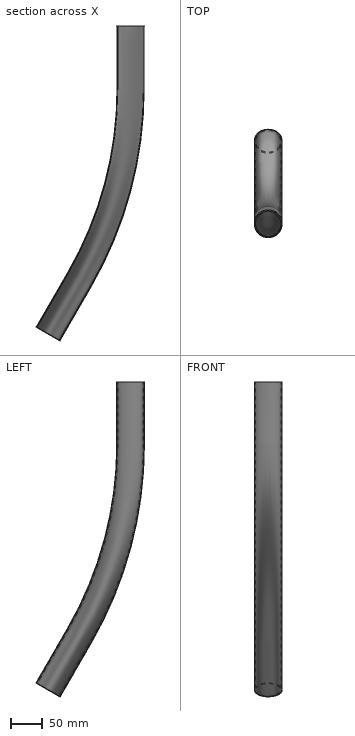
import cadquery as cq
import math

overall_height = 505.5
outer_diameter = 44.5
inner_diameter = 40.5
straight_length = 101.0
bend_angle = math.radians(30)

straight_height = straight_length * (1 + math.cos(bend_angle))
end_corner_drop = outer_diameter / 2 * math.sin(bend_angle)
bend_radius = (overall_height - straight_height - end_corner_drop) / math.sin(bend_angle)


def point_on_bend(angle):
    """Centreline point (Y, Z) after turning by angle from vertical towards +Y."""
    y = bend_radius * (1 - math.cos(angle))
    z = overall_height - straight_length - bend_radius * math.sin(angle)
    return y, z


bend_end_y, bend_end_z = point_on_bend(bend_angle)
lower_end = (
    bend_end_y + straight_length * math.sin(bend_angle),
    bend_end_z - straight_length * math.cos(bend_angle),
)
centreline = (
    cq.Workplane("YZ")
    .moveTo(0, overall_height)
    .lineTo(*point_on_bend(0))
    .threePointArc(point_on_bend(bend_angle / 2), (bend_end_y, bend_end_z))
    .lineTo(*lower_end)
)

result = (
    cq.Workplane("XY", origin=(0, 0, overall_height))
    .circle(outer_diameter / 2)
    .circle(inner_diameter / 2)
    .sweep(centreline)
)